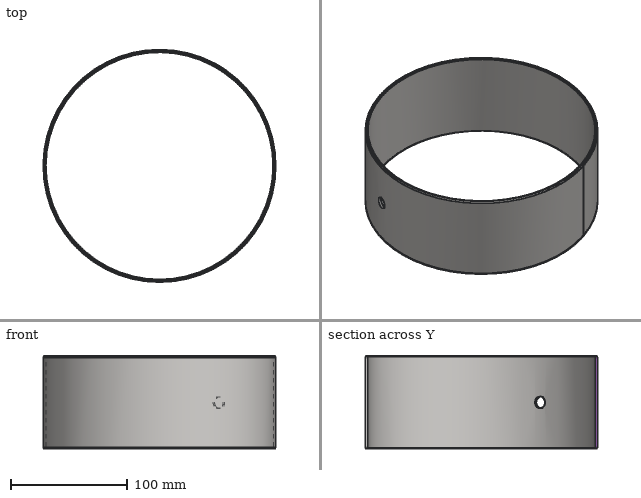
import cadquery as cq

outer_diameter = 200.0
wall = 2.5
height = 80.0

bevel_depth = 0.8
outer_bevel_height = 1.5
inner_bevel_height = bevel_depth

slit_width = 1.5

hole_diameter = 10.0
hole_angle = 59.0

outer_radius = outer_diameter / 2
inner_radius = outer_radius - wall


def make_ring():
    """Thin tube, centred on the origin, revolved from its bevelled wall section."""
    rim_z = height / 2
    outer_bevel_z = rim_z - outer_bevel_height
    inner_bevel_z = rim_z - inner_bevel_height
    wall_section = [
        (inner_radius, -inner_bevel_z),
        (inner_radius + bevel_depth, -rim_z),
        (outer_radius - bevel_depth, -rim_z),
        (outer_radius, -outer_bevel_z),
        (outer_radius, outer_bevel_z),
        (outer_radius - bevel_depth, rim_z),
        (inner_radius + bevel_depth, rim_z),
        (inner_radius, inner_bevel_z),
    ]
    section = cq.Workplane("XZ").polyline(wall_section).close()
    return section.revolve(360, (0, 0, 0), (0, 1, 0))


def make_slit():
    """Full-height cutter running from the axis out through the -X wall."""
    cutter = cq.Workplane("XY").box(outer_diameter, slit_width, height)
    return cutter.translate((-outer_radius, slit_width / 2, 0))


def make_hole():
    """Radial cylinder from the axis out through the wall."""
    cylinder = cq.Workplane("YZ").circle(hole_diameter / 2).extrude(outer_diameter)
    return cylinder.rotate((0, 0, 0), (0, 0, 1), hole_angle)


result = make_ring().cut(make_slit()).cut(make_hole())